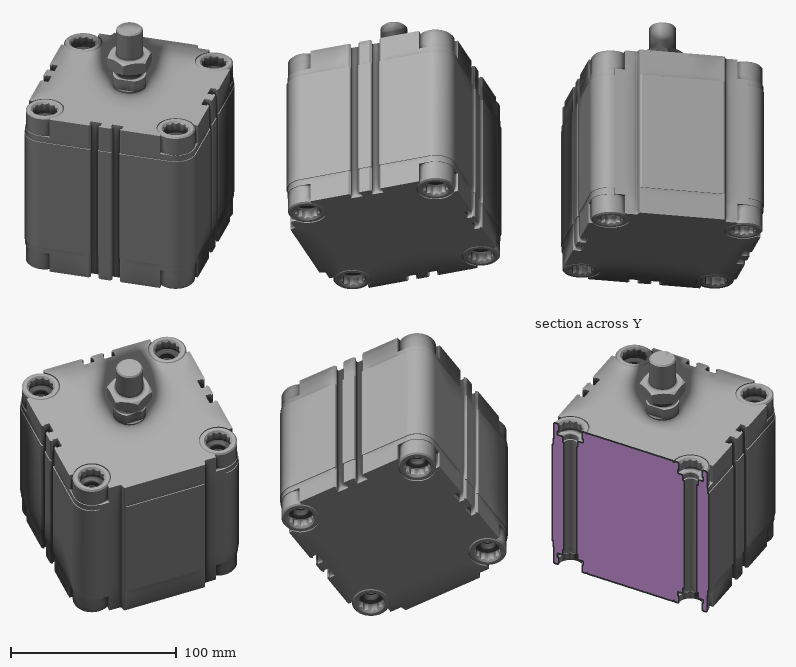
import cadquery as cq
import math

HOUSING_HEIGHT = 106.3
CAP_HEIGHT = 16.5
TOTAL_HEIGHT = 146.0

TUBE_WIDTH = 107.0
CAP_INSET = 0.51
BOLT_OFFSET = 41.0
RIDGE_HEIGHT = 4.0
RIDGE_HALF_BASE = 27.2
RIDGE_HALF_TOP = 26.1
RIDGE_SHOULDER_RADIUS = 1.8
RIDGE_BASE_RADIUS = 1.2

SLOT_OFFSET = 6.7
SLOT_DEPTH = 5.5
SLOT_WIDTH = 7.0
SLOT_MOUTH = 5.0
LIP_THICKNESS = 2.0
TUBE_MOUTH_CHAMFER = 0.5
CAP_MOUTH_CHAMFER = 1.0

HEAD_DIAMETER = 23.0
HEAD_HEIGHT = 12.4
HEAD_CHAMFER = 0.9
POCKET_EDGE = 34.6
SOCKET_RIM_DIAMETER = 17.2
SOCKET_TIP_DIAMETER = 15.8
SOCKET_RIM_ANGLE = 45.0
SOCKET_STAR_DEPTH = 5.8
SOCKET_DEPTH = 8.3
SOCKET_POINTS = 12
THREAD_HOLE_DIAMETER = 10.1
THREAD_HOLE_RIM_DIAMETER = 11.1
BORE_DIAMETER = 8.3

ROD_DIAMETER = 20.0
ROD_SHOULDER_Z = 114.3
FLAT_BOTTOM_Z = 107.3
FLAT_WIDTH = 17.0
NECK_DIAMETER = 14.3
THREAD_DIAMETER = 16.0
THREAD_BOTTOM_Z = 116.8
THREAD_CHAMFER = (THREAD_DIAMETER - NECK_DIAMETER) / 2

NUT_ACROSS_FLATS = 24.0
NUT_BOTTOM_Z = 120.0
NUT_HEIGHT = 8.0
NUT_CHAMFER_ANGLE = 30.0

HALF = TUBE_WIDTH / 2
RIDGE_FACE = HALF + RIDGE_HEIGHT
CORNER_RADIUS = HALF - BOLT_OFFSET
HEAD_RADIUS = HEAD_DIAMETER / 2


def ridge_profile(bottom, height):
    """Ridge of the +Y side with its wide foot, rounded along its shoulders and its base."""
    ridge = (
        cq.Workplane("XY", origin=(0, 0, bottom))
        .polyline([
            (-BOLT_OFFSET, 0),
            (-BOLT_OFFSET, HALF),
            (-RIDGE_HALF_BASE, HALF),
            (-RIDGE_HALF_TOP, RIDGE_FACE),
            (RIDGE_HALF_TOP, RIDGE_FACE),
            (RIDGE_HALF_BASE, HALF),
            (BOLT_OFFSET, HALF),
            (BOLT_OFFSET, 0),
        ])
        .close()
        .extrude(height)
    )
    middle = bottom + height / 2
    for side in (-1, 1):
        base = cq.NearestToPointSelector((side * RIDGE_HALF_BASE, HALF, middle))
        ridge = ridge.edges("|Z").edges(base).fillet(RIDGE_BASE_RADIUS)
    return ridge.edges("|Z and >Y").fillet(RIDGE_SHOULDER_RADIUS)


def outline(inset, bottom, height):
    """Rounded square block with the ridge on its +Y side, its ridge face cut back by the inset."""
    half = HALF - inset
    square = (
        cq.Workplane("XY", origin=(0, 0, bottom))
        .rect(2 * half, 2 * half)
        .extrude(height)
        .edges("|Z")
        .fillet(CORNER_RADIUS - inset)
    )
    ridge_limit = (
        cq.Workplane("XY", origin=(0, 0, bottom))
        .rect(2 * half, 2 * (RIDGE_FACE - inset))
        .extrude(height)
    )
    return square.union(ridge_profile(bottom, height).intersect(ridge_limit))


def slot(center_x, inset, mouth_chamfer, bottom, height):
    """T-slot cutter for the -Y side, with a chamfered mouth."""
    face = -HALF + inset
    lip = -HALF + LIP_THICKNESS
    floor = -HALF + SLOT_DEPTH
    mouth = SLOT_MOUTH / 2
    wide = SLOT_WIDTH / 2
    right_side = [
        (mouth + mouth_chamfer, face),
        (mouth, face + mouth_chamfer),
        (mouth, lip),
        (wide, lip),
        (wide, floor),
    ]
    left_side = [(-x, y) for x, y in reversed(right_side)]
    return (
        cq.Workplane("XY", origin=(center_x, 0, bottom))
        .polyline(right_side + left_side)
        .close()
        .extrude(height)
    )


def slotted_block(inset, mouth_chamfer, bottom, height):
    """Housing section with a pair of slots on the -X, -Y and +X sides."""
    block = outline(inset, bottom, height)
    for angle in (-90, 0, 90):
        for side in (-1, 1):
            cutter = slot(side * SLOT_OFFSET, inset, mouth_chamfer, bottom, height)
            block = block.cut(cutter.rotate((0, 0, 0), (0, 0, 1), angle))
    return block


def star_points():
    """Corners of a star made of two hexagons turned by 30 degrees."""
    tip = SOCKET_TIP_DIAMETER / 2
    step = math.pi / SOCKET_POINTS
    notch = tip * math.cos(2 * step) / math.cos(step)
    points = []
    for index in range(2 * SOCKET_POINTS):
        radius = notch if index % 2 else tip
        points.append((radius * math.cos(index * step), radius * math.sin(index * step)))
    return points


def head_socket():
    """Cutter for the socket in a bolt head whose top is at Z = 0."""
    rim = SOCKET_RIM_DIAMETER / 2
    hole = THREAD_HOLE_DIAMETER / 2
    hole_rim = THREAD_HOLE_RIM_DIAMETER / 2
    star = cq.Workplane("XY").polyline(star_points()).close().extrude(-SOCKET_STAR_DEPTH)
    rim_cone = (
        cq.Workplane("XZ")
        .polyline([(0, 0), (rim, 0), (0, -rim * math.tan(math.radians(SOCKET_RIM_ANGLE)))])
        .close()
        .revolve(360, (0, 0), (0, 1))
    )
    base = (
        cq.Workplane("XZ")
        .polyline([
            (0, -SOCKET_STAR_DEPTH),
            (rim, -SOCKET_STAR_DEPTH),
            (rim, -SOCKET_DEPTH),
            (hole_rim, -SOCKET_DEPTH),
            (hole, -SOCKET_DEPTH - (hole_rim - hole)),
            (hole, -HEAD_HEIGHT),
            (0, -HEAD_HEIGHT),
        ])
        .close()
        .revolve(360, (0, 0), (0, 1))
    )
    return star.union(rim_cone).union(base)


def head_groove():
    """Ring cutter left by the chamfer of a bolt head whose top is at Z = 0."""
    return (
        cq.Workplane("XZ")
        .polyline([
            (HEAD_RADIUS, 0),
            (HEAD_RADIUS, -HEAD_CHAMFER),
            (HEAD_RADIUS - HEAD_CHAMFER, 0),
        ])
        .close()
        .revolve(360, (0, 0), (0, 1))
    )


def bolt_cap(bottom):
    """End cap with bolt heads standing in its corner pockets, heads facing up."""
    top = bottom + CAP_HEIGHT
    cap = slotted_block(CAP_INSET, CAP_MOUTH_CHAMFER, bottom, CAP_HEIGHT)
    pocket_size = HALF - POCKET_EDGE
    pocket_center = POCKET_EDGE + pocket_size / 2
    for x_side in (-1, 1):
        for y_side in (-1, 1):
            pocket = (
                cq.Workplane("XY", origin=(x_side * pocket_center, y_side * pocket_center, top))
                .rect(pocket_size, pocket_size)
                .extrude(-HEAD_HEIGHT)
            )
            axis = (x_side * BOLT_OFFSET, y_side * BOLT_OFFSET, top)
            head = cq.Workplane("XY", origin=axis).circle(HEAD_RADIUS).extrude(-HEAD_HEIGHT)
            cap = cap.cut(pocket).union(head)
            cap = cap.cut(head_groove().translate(axis)).cut(head_socket().translate(axis))
    return cap


def make_housing():
    """Profile tube with an end cap at each end and a bore along each bolt axis."""
    tube_height = HOUSING_HEIGHT - 2 * CAP_HEIGHT
    tube = slotted_block(0, TUBE_MOUTH_CHAMFER, CAP_HEIGHT, tube_height)
    top_cap = bolt_cap(HOUSING_HEIGHT - CAP_HEIGHT)
    bottom_cap = top_cap.mirror("XY", (0, 0, HOUSING_HEIGHT / 2))
    bores = (
        cq.Workplane("XY")
        .rect(2 * BOLT_OFFSET, 2 * BOLT_OFFSET, forConstruction=True)
        .vertices()
        .circle(BORE_DIAMETER / 2)
        .extrude(HOUSING_HEIGHT)
    )
    return tube.union(top_cap).union(bottom_cap).cut(bores)


def make_rod():
    """Piston rod standing on the housing: collar with flats, neck and thread."""
    neck = NECK_DIAMETER / 2
    thread = THREAD_DIAMETER / 2
    collar = (
        cq.Workplane("XY", origin=(0, 0, HOUSING_HEIGHT))
        .circle(ROD_DIAMETER / 2)
        .extrude(FLAT_BOTTOM_Z - HOUSING_HEIGHT)
    )
    slab = (
        cq.Workplane("XY", origin=(0, 0, FLAT_BOTTOM_Z))
        .rect(ROD_DIAMETER, FLAT_WIDTH)
        .extrude(ROD_SHOULDER_Z - FLAT_BOTTOM_Z)
    )
    flatted_collar = (
        cq.Workplane("XY", origin=(0, 0, FLAT_BOTTOM_Z))
        .circle(ROD_DIAMETER / 2)
        .extrude(ROD_SHOULDER_Z - FLAT_BOTTOM_Z)
        .intersect(slab)
    )
    end = (
        cq.Workplane("XZ")
        .polyline([
            (0, ROD_SHOULDER_Z),
            (neck, ROD_SHOULDER_Z),
            (neck, THREAD_BOTTOM_Z),
            (thread, THREAD_BOTTOM_Z + THREAD_CHAMFER),
            (thread, TOTAL_HEIGHT - THREAD_CHAMFER),
            (neck, TOTAL_HEIGHT),
            (0, TOTAL_HEIGHT),
        ])
        .close()
        .revolve(360, (0, 0), (0, 1))
    )
    return collar.union(flatted_collar).union(end)


def make_nut():
    """Hexagon nut with corners at +Y and -Y, chamfered at both ends."""
    flat = NUT_ACROSS_FLATS / 2
    corner = flat / math.cos(math.pi / 6)
    drop = (corner - flat) * math.tan(math.radians(NUT_CHAMFER_ANGLE))
    hexagon = (
        cq.Workplane("XY", origin=(0, 0, NUT_BOTTOM_Z))
        .polygon(6, 2 * corner)
        .extrude(NUT_HEIGHT)
        .rotate((0, 0, 0), (0, 0, 1), 90)
    )
    envelope = (
        cq.Workplane("XZ", origin=(0, 0, NUT_BOTTOM_Z))
        .polyline([
            (0, 0),
            (flat, 0),
            (corner, drop),
            (corner, NUT_HEIGHT - drop),
            (flat, NUT_HEIGHT),
            (0, NUT_HEIGHT),
        ])
        .close()
        .revolve(360, (0, 0), (0, 1))
    )
    bore = (
        cq.Workplane("XY", origin=(0, 0, NUT_BOTTOM_Z))
        .circle(THREAD_DIAMETER / 2)
        .extrude(NUT_HEIGHT)
    )
    return hexagon.intersect(envelope).cut(bore)


housing = make_housing()
rod = make_rod()
nut = make_nut()

result = cq.Compound.makeCompound([housing.val(), rod.val(), nut.val()])